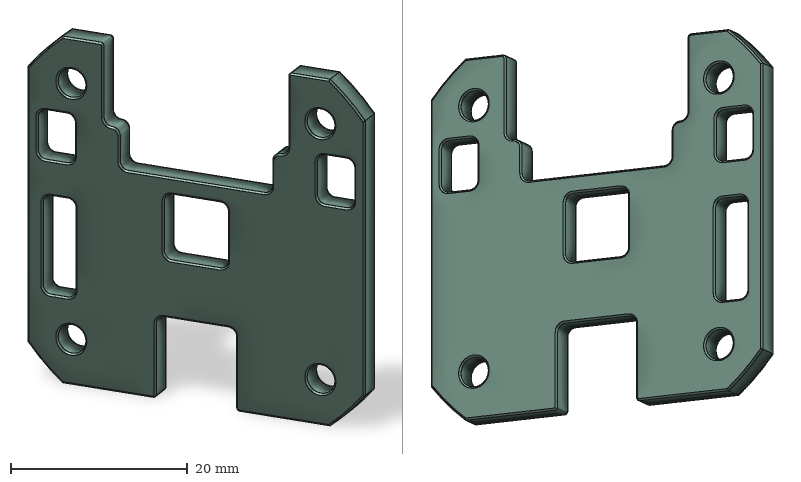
import cadquery as cq
import math

width = 42.0
height = 42.0
thickness = 3.0
edge_chamfer = 0.2
inner_radius = 1.0
mouth_radius = 0.4
corner_flat_end = 16.65

top_notch_mouth_half_width = 11.5
top_notch_floor_half_width = 9.5
top_notch_step_z = 11.0
top_notch_floor_z = 6.0

bottom_notch_half_width = 5.0
bottom_notch_roof_z = -11.0

screw_hole_diameter = 3.45
screw_hole_offset = 15.5

centre_window_size = 8.0
side_window_inner_x = 15.08
side_window_outer_x = 19.7
side_window_bottom_z = 5.75
side_window_top_z = 11.75
slot_outer_x = 19.05
slot_inner_x = 15.0
slot_bottom_z = -10.5
slot_top_z = 1.45

half_width = width / 2
half_height = height / 2
corner_arc_radius = math.hypot(half_width, corner_flat_end)
corner_arc_mid = corner_arc_radius * math.sqrt(0.5)


def back_face_sketch():
    """Empty sketch on the back face of the plate, with its normal along -Y."""
    return cq.Workplane("XZ", origin=(0, thickness / 2, 0))


def plate_blank():
    """Square plate whose four corners are cut by one circle about the origin."""
    outline = (
        back_face_sketch()
        .moveTo(-corner_flat_end, half_height)
        .lineTo(corner_flat_end, half_height)
        .threePointArc((corner_arc_mid, corner_arc_mid), (half_width, corner_flat_end))
        .lineTo(half_width, -corner_flat_end)
        .threePointArc((corner_arc_mid, -corner_arc_mid), (corner_flat_end, -half_height))
        .lineTo(-corner_flat_end, -half_height)
        .threePointArc((-corner_arc_mid, -corner_arc_mid), (-half_width, -corner_flat_end))
        .lineTo(-half_width, corner_flat_end)
        .threePointArc((-corner_arc_mid, corner_arc_mid), (-corner_flat_end, half_height))
        .close()
    )
    return outline.extrude(thickness)


def rectangular_cutter(x_min, x_max, z_min, z_max):
    """Sharp-cornered block spanning the plate thickness."""
    return (
        back_face_sketch()
        .center((x_min + x_max) / 2, (z_min + z_max) / 2)
        .rect(x_max - x_min, z_max - z_min)
        .extrude(thickness)
    )


def round_corners(body, half_span, z, radius):
    """Round the pair of through-thickness edges at X = +-half_span and height z."""
    for x in (-half_span, half_span):
        body = body.edges(cq.selectors.NearestToPointSelector((x, 0, z))).fillet(radius)
    return body


def cut_top_notch(body):
    mouth = top_notch_mouth_half_width
    floor = top_notch_floor_half_width
    step_radius = (mouth - floor) / 2
    step_middle = (mouth + floor) / 2
    arc_sine = step_radius * math.sqrt(0.5)
    upper_z = top_notch_step_z + step_radius
    lower_z = top_notch_step_z - step_radius
    notch = (
        back_face_sketch()
        .moveTo(-mouth, half_height)
        .lineTo(-mouth, upper_z)
        .threePointArc(
            (-step_middle - arc_sine, upper_z - arc_sine), (-step_middle, top_notch_step_z)
        )
        .threePointArc((-step_middle + arc_sine, lower_z + arc_sine), (-floor, lower_z))
        .lineTo(-floor, top_notch_floor_z)
        .lineTo(floor, top_notch_floor_z)
        .lineTo(floor, lower_z)
        .threePointArc((step_middle - arc_sine, lower_z + arc_sine), (step_middle, top_notch_step_z))
        .threePointArc((step_middle + arc_sine, upper_z - arc_sine), (mouth, upper_z))
        .lineTo(mouth, half_height)
        .close()
        .extrude(thickness)
    )
    body = body.cut(notch)
    body = round_corners(body, floor, top_notch_floor_z, inner_radius)
    return round_corners(body, mouth, half_height, mouth_radius)


def cut_bottom_notch(body):
    half_span = bottom_notch_half_width
    body = body.cut(rectangular_cutter(-half_span, half_span, -half_height, bottom_notch_roof_z))
    body = round_corners(body, half_span, bottom_notch_roof_z, inner_radius)
    return round_corners(body, half_span, -half_height, mouth_radius)


def cut_windows(body):
    half_size = centre_window_size / 2
    spans = (
        (-half_size, half_size, -half_size, half_size),
        (-side_window_outer_x, -side_window_inner_x, side_window_bottom_z, side_window_top_z),
        (side_window_inner_x, side_window_outer_x, side_window_bottom_z, side_window_top_z),
        (-slot_outer_x, -slot_inner_x, slot_bottom_z, slot_top_z),
    )
    for span in spans:
        body = body.cut(rectangular_cutter(*span).edges("|Y").fillet(inner_radius))
    return body


def cut_screw_holes(body):
    pitch = 2 * screw_hole_offset
    holes = (
        back_face_sketch()
        .rect(pitch, pitch, forConstruction=True)
        .vertices()
        .circle(screw_hole_diameter / 2)
        .extrude(thickness)
    )
    return body.cut(holes)


plate = plate_blank()
plate = cut_top_notch(plate)
plate = cut_bottom_notch(plate)
plate = cut_windows(plate)
plate = cut_screw_holes(plate)
result = plate.faces("<Y or >Y").edges().chamfer(edge_chamfer)